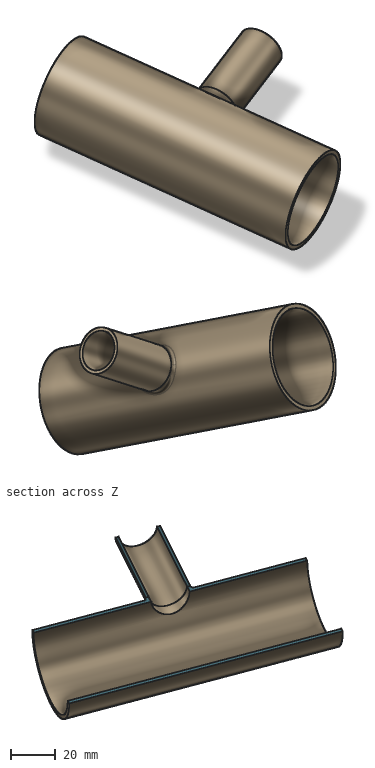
import cadquery as cq

run_length = 130.0
run_outer_diameter = 48.4
run_inner_diameter = 44.3

branch_outer_diameter = 21.3
branch_inner_diameter = 18.1
branch_end = 65.0
collar_end = 25.7
collar_fillet = 1.3


def run_cylinder(diameter):
    """Cylinder along X with the full length of the run."""
    return cq.Workplane("YZ").circle(diameter / 2).extrude(run_length / 2, both=True)


def branch_cylinder(diameter, start, end):
    """Cylinder along +Y between two distances from the run axis."""
    plane = cq.Plane(origin=(0, start, 0), xDir=(1, 0, 0), normal=(0, 1, 0))
    return cq.Workplane(plane).circle(diameter / 2).extrude(end - start)


def make_run_pipe():
    """Run pipe with a short filleted collar that opens into its bore."""
    body = run_cylinder(run_outer_diameter).union(
        branch_cylinder(branch_outer_diameter, 0, collar_end)
    )

    saddle_box = cq.selectors.BoxSelector(
        (-branch_outer_diameter, 0, -branch_outer_diameter),
        (branch_outer_diameter, collar_end, branch_outer_diameter),
        boundingbox=True,
    )
    saddle = body.edges(saddle_box).edges("<Y")
    body = saddle.fillet(collar_fillet)

    body = body.cut(run_cylinder(run_inner_diameter))
    return body.cut(branch_cylinder(branch_inner_diameter, 0, collar_end))


def make_branch_pipe():
    """Straight tube butted against the end of the collar."""
    outer = branch_cylinder(branch_outer_diameter, collar_end, branch_end)
    return outer.cut(branch_cylinder(branch_inner_diameter, collar_end, branch_end))


run_pipe = make_run_pipe()
branch_pipe = make_branch_pipe()

result = cq.Compound.makeCompound([run_pipe.val(), branch_pipe.val()])